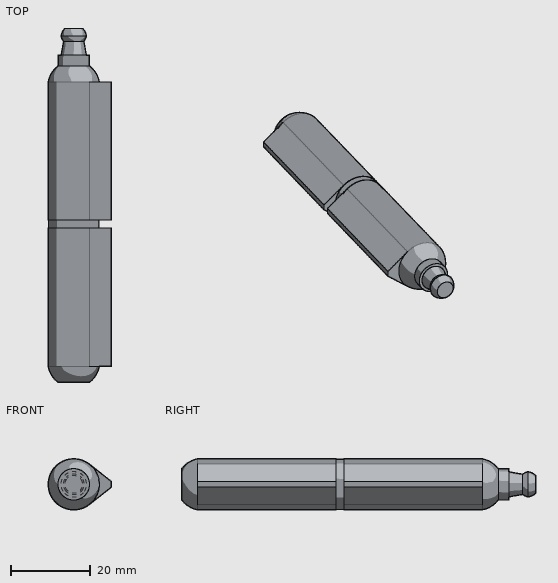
import cadquery as cq
import math

total_length = 89.5

knuckle_radius = 13.0 / 2
ridge_reach = 16.0 - knuckle_radius
ridge_tip_half_height = 0.7

washer_radius = 12.8 / 2
washer_thickness = 2.0

cap_length = 4.0
cap_end_radius = 8.0 / 2

collar_length = 2.7
neck_length = 3.5
neck_base_radius = 3.2
neck_top_radius = 2.6
head_lower_length = 1.3
head_upper_length = 2.0
head_radius = 3.2
head_tip_radius = 2.2

nipple_length = collar_length + neck_length + head_lower_length + head_upper_length
knuckle_length = (total_length - nipple_length - 2 * cap_length - washer_thickness) / 2

start = -total_length / 2
lower_knuckle_start = start + cap_length
washer_start = lower_knuckle_start + knuckle_length
upper_knuckle_start = washer_start + washer_thickness
upper_cap_start = upper_knuckle_start + knuckle_length
collar_start = upper_cap_start + cap_length
neck_start = collar_start + collar_length
head_start = neck_start + neck_length
head_widest = head_start + head_lower_length
tip = head_widest + head_upper_length


def sphere_arc(profile, start_point, end_point):
    """Add an arc of a sphere centred on the axis, joining two (radius, y) points."""
    (r1, y1), (r2, y2) = start_point, end_point
    centre = (r2**2 + y2**2 - r1**2 - y1**2) / (2 * (y2 - y1))
    sphere_radius = math.hypot(r1, y1 - centre)
    middle_y = (y1 + y2) / 2
    middle_r = math.sqrt(sphere_radius**2 - (middle_y - centre) ** 2)
    return profile.threePointArc((middle_r, middle_y), end_point)


def make_turned_body():
    """Revolve the caps, round knuckles, washer and grease nipple about Y."""
    profile = cq.Workplane("XY").moveTo(0, start).lineTo(cap_end_radius, start)
    profile = sphere_arc(profile, (cap_end_radius, start), (knuckle_radius, lower_knuckle_start))
    profile = (
        profile.lineTo(knuckle_radius, washer_start)
        .lineTo(washer_radius, washer_start)
        .lineTo(washer_radius, upper_knuckle_start)
        .lineTo(knuckle_radius, upper_knuckle_start)
        .lineTo(knuckle_radius, upper_cap_start)
    )
    profile = sphere_arc(profile, (knuckle_radius, upper_cap_start), (cap_end_radius, collar_start))
    profile = (
        profile.lineTo(cap_end_radius, neck_start)
        .lineTo(neck_base_radius, neck_start)
        .lineTo(neck_top_radius, head_start)
    )
    profile = sphere_arc(profile, (neck_top_radius, head_start), (head_radius, head_widest))
    profile = sphere_arc(profile, (head_radius, head_widest), (head_tip_radius, tip))
    return profile.lineTo(0, tip).close().revolve(360, (0, 0, 0), (0, 1, 0))


def make_ridge(y_start):
    """Make a ridge whose flanks leave the knuckle tangentially and meet a narrow flat tip."""
    tip_distance = math.hypot(ridge_reach, ridge_tip_half_height)
    tip_angle = math.atan2(ridge_tip_half_height, ridge_reach)
    tangent_angle = tip_angle + math.acos(knuckle_radius / tip_distance)
    tangent_x = knuckle_radius * math.cos(tangent_angle)
    tangent_z = knuckle_radius * math.sin(tangent_angle)
    outline = [
        (0, 0),
        (tangent_x, tangent_z),
        (ridge_reach, ridge_tip_half_height),
        (ridge_reach, -ridge_tip_half_height),
        (tangent_x, -tangent_z),
    ]
    return (
        cq.Workplane("XZ", origin=(0, y_start, 0))
        .polyline(outline)
        .close()
        .extrude(-knuckle_length)
    )


result = make_turned_body()
for knuckle_start in (lower_knuckle_start, upper_knuckle_start):
    result = result.union(make_ridge(knuckle_start))